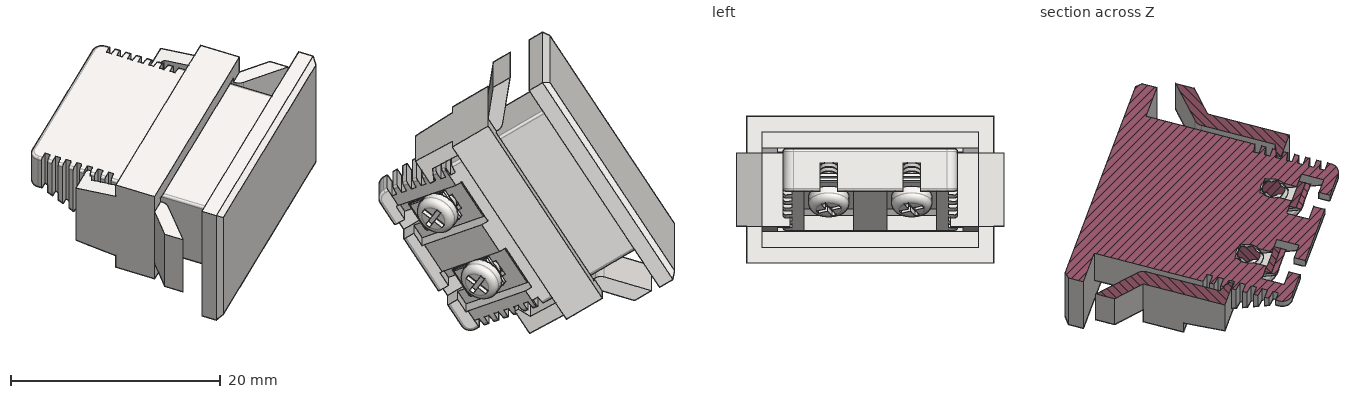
import cadquery as cq
import math


BEZEL_FRONT_X = 21.5
BEZEL_THICKNESS = 2.02
BEZEL_WIDTH = 23.55
BEZEL_HEIGHT = 14.0
BEZEL_CHAMFER = 0.5
BEZEL_BACK_X = BEZEL_FRONT_X - BEZEL_THICKNESS

HOUSING_WIDTH = 16.65
HOUSING_HEIGHT = 7.75
REAR_CORNER_RADIUS = 1.0
EDGE_RADIUS = 0.25
HOUSING_TOP_Z = HOUSING_HEIGHT / 2
HOUSING_BOTTOM_Z = -HOUSING_HEIGHT / 2

SLOPE_ANGLE = 30
SLOPE_START_X = 1.38
SLOPE_START_Z = -0.15
SLOPE_TANGENT = math.tan(math.radians(SLOPE_ANGLE))
SLOPE_COSINE = math.cos(math.radians(SLOPE_ANGLE))
SLOPE_END_X = SLOPE_START_X + (SLOPE_START_Z - HOUSING_BOTTOM_Z) / SLOPE_TANGENT

GROOVE_COUNT = 7
GROOVE_START_X = 1.38
GROOVE_PITCH = 1.1
GROOVE_WIDTH = 0.65
GROOVE_FLOOR_WIDTH = 0.5
GROOVE_DEPTH = 0.87

TERMINAL_SPACING = 7.9
TERMINAL_POSITIONS = (-TERMINAL_SPACING / 2, TERMINAL_SPACING / 2)
POCKET_WIDTH = 4.7
REAR_WALL_THICKNESS = 1.15
SLOT_WIDTH = 1.65
SLOT_TOP_Z = 2.55
SLOT_FRONT_X = 6.5
POCKET_RAMP_X = 8.01
POCKET_FRONT_X = 8.52
POCKET_STEP_Z = -2.48

SCREW_SEAT_DEPTH = 1.17
SCREW_SEAT_X = 4.57
HEAD_DIAMETER = 3.85
HEAD_HEIGHT = 1.45
HEAD_RADIUS = 0.71
SHANK_DIAMETER = 2.0
SHANK_LENGTH = 4.08
THREAD_PITCH = 0.48
THREAD_DEPTH = 0.25
THREAD_COUNT = 6
RECESS_LENGTH = 2.4
RECESS_WIDTH = 0.45
RECESS_DEPTH = 0.55
RECESS_TURN = 25

PLATE_WIDTH = 3.05
HOLE_DIAMETER = 2.1
CLAMP_THICKNESS = 0.35
CLAMP_REAR_REACH = 2.85
PLATE_FRONT_REACH = 1.4
CLAMP_EDGE_CHAMFER = 0.1
TERMINAL_THICKNESS = 0.3
TERMINAL_REAR_REACH = 3.16
POCKET_DEPTH = SCREW_SEAT_DEPTH + CLAMP_THICKNESS + TERMINAL_THICKNESS

FRAME_REAR_X = 9.93
FRAME_FRONT_X = 13.95
FRAME_WIDTH = 20.62
FRAME_HEIGHT = 11.02
OPENING_WIDTH = 17.65
OPENING_HEIGHT = 7.95
ARM_REAR_X = 5.8
ARM_REAR_HEIGHT = 7.0
HOOK_TIP_Y = 7.63
HOOK_TIP_X = 6.2
HOOK_ROOT_X = 6.8
WING_TIP_Y = 12.75
WING_TIP_REAR_X = 16.05
WING_TIP_FRONT_X = 17.97
WING_BEND_X = 14.57
WING_BEND_RADIUS = 1.0
WING_HEIGHT = 7.0


def slope_z(x, depth=0.0):
    """Height at x of the plane that lies `depth` inside the sloped underside."""
    return SLOPE_START_Z - (x - SLOPE_START_X) * SLOPE_TANGENT + depth / SLOPE_COSINE


def box(x_min, x_max, y_size, z_min, z_max):
    """Block centred on Y = 0."""
    return cq.Workplane("XY").box(
        x_max - x_min, y_size, z_max - z_min, centered=(False, True, False)
    ).translate((x_min, 0, z_min))


def side_profile(points, width):
    """Prism with an outline in X and Z, centred on Y = 0."""
    return cq.Workplane("XZ").polyline(points).close().extrude(width / 2, both=True)


def mirrored_pair(body):
    """A shape together with its mirror image across Y = 0."""
    return body.union(body.mirror("XZ"))


def place_at_terminal(body, y):
    """Move a body to a screw seat: its X axis to the rear, its Z axis out through the slope."""
    tilt = math.radians(SLOPE_ANGLE)
    seat = cq.Plane(
        origin=(SCREW_SEAT_X, y, slope_z(SCREW_SEAT_X, SCREW_SEAT_DEPTH)),
        xDir=(-math.cos(tilt), 0, math.sin(tilt)),
        normal=(-math.sin(tilt), 0, -math.cos(tilt)),
    )
    return cq.Workplane(body.val().moved(cq.Location(seat)))


def make_housing_shell():
    """Housing block with its sloped underside and rounded edges."""
    outline = [
        (0, HOUSING_TOP_Z),
        (BEZEL_BACK_X, HOUSING_TOP_Z),
        (BEZEL_BACK_X, HOUSING_BOTTOM_Z),
        (SLOPE_END_X, HOUSING_BOTTOM_Z),
        (SLOPE_START_X, SLOPE_START_Z),
        (0, SLOPE_START_Z),
    ]
    shell = side_profile(outline, HOUSING_WIDTH)
    shell = shell.faces("<X").edges("|Z").fillet(REAR_CORNER_RADIUS)
    shell = shell.faces(">Z").edges("not >X").fillet(EDGE_RADIUS)
    underside = cq.selectors.BoxSelector(
        (-EDGE_RADIUS, -HOUSING_WIDTH, -HOUSING_HEIGHT),
        (BEZEL_BACK_X - EDGE_RADIUS, HOUSING_WIDTH, SLOPE_START_Z + EDGE_RADIUS),
    )
    crosswise = cq.selectors.ParallelDirSelector(cq.Vector(0, 1, 0))
    rear_edge = cq.selectors.NearestToPointSelector((0, 0, SLOPE_START_Z))
    return shell.edges(underside - crosswise + rear_edge).fillet(EDGE_RADIUS)


def make_bezel():
    bezel = box(BEZEL_BACK_X, BEZEL_FRONT_X, BEZEL_WIDTH, -BEZEL_HEIGHT / 2, BEZEL_HEIGHT / 2)
    return bezel.faces(">X").chamfer(BEZEL_CHAMFER)


def make_grip_grooves():
    """Grooves in both sides, each with a square rear wall and a slanted front wall."""
    side_y = HOUSING_WIDTH / 2
    floor_y = side_y - GROOVE_DEPTH
    grooves = []
    for index in range(GROOVE_COUNT):
        start_x = GROOVE_START_X + index * GROOVE_PITCH
        outline = [
            (start_x, side_y),
            (start_x + GROOVE_WIDTH, side_y),
            (start_x + GROOVE_FLOOR_WIDTH, floor_y),
            (start_x, floor_y),
        ]
        groove = cq.Workplane("XY").polyline(outline).close().extrude(HOUSING_HEIGHT, both=True)
        grooves += [groove.val(), groove.mirror("XZ").val()]
    return cq.Workplane(cq.Compound.makeCompound(grooves))


def make_terminal_cavity(y):
    """Pocket open through the slope, slot through the rear wall and hole for the screw shank."""
    pocket = side_profile(
        [
            (REAR_WALL_THICKNESS, slope_z(REAR_WALL_THICKNESS, POCKET_DEPTH)),
            (POCKET_RAMP_X, slope_z(POCKET_RAMP_X, POCKET_DEPTH)),
            (POCKET_FRONT_X, POCKET_STEP_Z),
            (POCKET_FRONT_X, -HOUSING_HEIGHT),
            (REAR_WALL_THICKNESS, -HOUSING_HEIGHT),
        ],
        POCKET_WIDTH,
    )
    slot = box(0, SLOT_FRONT_X, SLOT_WIDTH, -HOUSING_HEIGHT, SLOT_TOP_Z)
    shank_hole = cq.Workplane("XY").circle(HOLE_DIAMETER / 2).extrude(-SHANK_LENGTH)
    return pocket.union(slot).translate((0, y, 0)).union(place_at_terminal(shank_hole, y))


def make_housing():
    housing = make_housing_shell().union(make_bezel()).cut(make_grip_grooves())
    for y in TERMINAL_POSITIONS:
        housing = housing.cut(make_terminal_cavity(y))
    return housing


def make_screw():
    """Pan-head screw with a ridged shank, its axis on Z and its head above Z = 0."""
    crest = SHANK_DIAMETER / 2
    root = crest - THREAD_DEPTH
    rim = HEAD_DIAMETER / 2
    arc_offset = HEAD_RADIUS * math.sqrt(0.5)
    profile = cq.Workplane("XZ").moveTo(0, -SHANK_LENGTH).lineTo(crest, -SHANK_LENGTH)
    for index in range(THREAD_COUNT):
        ridge_z = -SHANK_LENGTH + index * THREAD_PITCH
        profile = profile.lineTo(root, ridge_z + THREAD_PITCH / 2).lineTo(crest, ridge_z + THREAD_PITCH)
    profile = (
        profile.lineTo(crest, 0)
        .lineTo(rim, 0)
        .lineTo(rim, HEAD_HEIGHT - HEAD_RADIUS)
        .threePointArc(
            (rim - HEAD_RADIUS + arc_offset, HEAD_HEIGHT - HEAD_RADIUS + arc_offset),
            (rim - HEAD_RADIUS, HEAD_HEIGHT),
        )
        .lineTo(0, HEAD_HEIGHT)
        .close()
    )
    screw = profile.revolve(360, (0, 0, 0), (0, 1, 0))
    blade = box(-RECESS_LENGTH / 2, RECESS_LENGTH / 2, RECESS_WIDTH, HEAD_HEIGHT - RECESS_DEPTH, HEAD_HEIGHT)
    for turn in (RECESS_TURN, RECESS_TURN + 90):
        screw = screw.cut(blade.rotate((0, 0, 0), (0, 0, 1), turn))
    return screw


def make_plate(rear_reach, bottom_z, thickness):
    """Drilled plate on the screw axis, its rear edge toward +X."""
    plate = box(-PLATE_FRONT_REACH, rear_reach, PLATE_WIDTH, bottom_z, bottom_z + thickness)
    hole = cq.Workplane("XY").workplane(offset=bottom_z).circle(HOLE_DIAMETER / 2).extrude(thickness)
    return plate.cut(hole)


def make_clamp_plate():
    """Plate against the underside of the screw head, with its rear edge bevelled."""
    plate = make_plate(CLAMP_REAR_REACH, -CLAMP_THICKNESS, CLAMP_THICKNESS)
    return plate.faces(">X").edges(">Z").chamfer(CLAMP_EDGE_CHAMFER)


def make_terminal_plate():
    """Plate between the clamp plate and the ceiling of the terminal pocket."""
    return make_plate(TERMINAL_REAR_REACH, -CLAMP_THICKNESS - TERMINAL_THICKNESS, TERMINAL_THICKNESS)


def make_clip_frame():
    frame = box(FRAME_REAR_X, FRAME_FRONT_X, FRAME_WIDTH, -FRAME_HEIGHT / 2, FRAME_HEIGHT / 2)
    opening = box(FRAME_REAR_X, FRAME_FRONT_X, OPENING_WIDTH, -OPENING_HEIGHT / 2, OPENING_HEIGHT / 2)
    return frame.cut(opening)


def make_clip_arm():
    """Rearward arm that narrows toward its hooked end."""
    outline = [
        (FRAME_REAR_X, FRAME_WIDTH / 2),
        (ARM_REAR_X, FRAME_WIDTH / 2),
        (ARM_REAR_X, HOOK_TIP_Y),
        (HOOK_TIP_X, HOOK_TIP_Y),
        (HOOK_ROOT_X, OPENING_WIDTH / 2),
        (FRAME_REAR_X, OPENING_WIDTH / 2),
    ]
    arm = cq.Workplane("XY").polyline(outline).close().extrude(OPENING_HEIGHT / 2, both=True)
    taper = [
        (FRAME_REAR_X, OPENING_HEIGHT / 2),
        (ARM_REAR_X, ARM_REAR_HEIGHT / 2),
        (ARM_REAR_X, -ARM_REAR_HEIGHT / 2),
        (FRAME_REAR_X, -OPENING_HEIGHT / 2),
    ]
    return arm.intersect(side_profile(taper, 2 * FRAME_WIDTH))


def make_clip_wing():
    """Spring wing that slants outward toward the bezel, rounded at the inside of its bend."""
    outline = [
        (FRAME_FRONT_X, FRAME_WIDTH / 2),
        (WING_TIP_REAR_X, WING_TIP_Y),
        (WING_TIP_FRONT_X, WING_TIP_Y),
        (WING_BEND_X, OPENING_WIDTH / 2),
        (FRAME_FRONT_X, OPENING_WIDTH / 2),
    ]
    wing = cq.Workplane("XY").polyline(outline).close().extrude(WING_HEIGHT / 2, both=True)
    bend = cq.selectors.NearestToPointSelector((WING_BEND_X, OPENING_WIDTH / 2, 0))
    return wing.edges("|Z").edges(bend).fillet(WING_BEND_RADIUS)


def make_clip():
    return make_clip_frame().union(mirrored_pair(make_clip_arm())).union(mirrored_pair(make_clip_wing()))


clip = make_clip()
housing = make_housing().cut(clip)

terminal_parts = []
for terminal_y in TERMINAL_POSITIONS:
    for make_part in (make_screw, make_clamp_plate, make_terminal_plate):
        terminal_parts.append(place_at_terminal(make_part(), terminal_y).val())

result = cq.Compound.makeCompound([housing.val(), clip.val(), *terminal_parts])